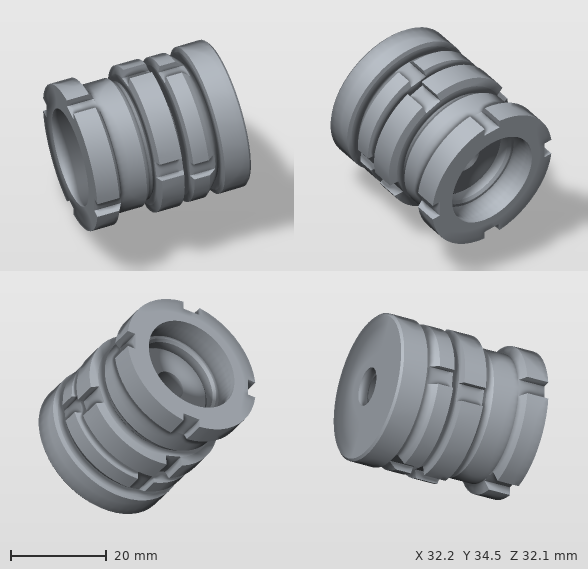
import cadquery as cq
import math


outer_radius = 16.0
thread_radius = 9.5
thread_chamfer = 0.55
hole_radius = 3.3
slot_width = 3.97
slot_floor = 14.0
slot_count = 4

collar_height = 6.05
collar_bevel = 1.15
body_radius = slot_floor
body_end = 11.77
tip_radius = 12.88
tip_start = body_end + body_radius - tip_radius
tip_chamfer = 0.52
sleeve_length = 14.0
counterbore_radius = 10.67
counterbore_depth = collar_height

nut_start = sleeve_length
nut_height = 6.0
nut_face_radius = 14.2
nut_bevel = 0.52
nut_slot_angle = 18.8

spindle_start = 8.35
thread_end = 20.27
neck_radius = 9.22
neck_start = 20.7
head_start = 21.37
head_radius = 15.7
head_face_radius = 14.15
head_bevel = 0.4
head_rim_end = 25.25
head_slot_angle = 10.3

seat_radius = 20.2
seat_center = head_rim_end - math.sqrt(seat_radius**2 - head_radius**2)

pad_start = 28.15
pad_height = 6.25
pad_chamfer = 0.5
pad_bevel = 0.28
pad_face_radius = 15.0
pad_hole_radius = 4.15
pad_tilt_x = 0.3
pad_tilt_z = 0.45


def revolve_about_y(outline):
    """Turn a closed outline of (radius, y) points about the Y axis."""
    return outline.close().revolve(360, (0, 0, 0), (0, 1, 0))


def turned(points):
    """Turned solid from a polygon of (radius, y) points."""
    return revolve_about_y(cq.Workplane("XY").polyline(points))


def cut_slots(body, start, end, angle):
    """Cut the ring of spanner slots between two Y positions, the first turned by angle from +Z to -X."""
    reach = outer_radius
    slot = cq.Workplane("XY").box(slot_width, end - start, reach, centered=(True, False, False))
    slot = slot.translate((0, start, slot_floor))
    for index in range(slot_count):
        turn = index * 360 / slot_count - angle
        body = body.cut(slot.rotate((0, 0, 0), (0, 1, 0), turn))
    return body


def make_sleeve():
    sleeve = turned([
        (counterbore_radius, 0),
        (outer_radius, 0),
        (outer_radius, collar_height - collar_bevel),
        (body_radius, collar_height),
        (body_radius, body_end),
        (tip_radius, tip_start),
        (tip_radius, sleeve_length - tip_chamfer),
        (tip_radius - tip_chamfer, sleeve_length),
        (thread_radius, sleeve_length),
        (thread_radius, counterbore_depth + thread_chamfer),
        (thread_radius + thread_chamfer, counterbore_depth),
        (counterbore_radius, counterbore_depth),
    ])
    return cut_slots(sleeve, 0, collar_height, 0)


def make_lock_nut():
    nut_end = nut_start + nut_height
    nut = turned([
        (thread_radius, nut_start),
        (nut_face_radius, nut_start),
        (outer_radius, nut_start + nut_bevel),
        (outer_radius, nut_end - nut_bevel),
        (nut_face_radius, nut_end),
        (thread_radius, nut_end),
    ])
    return cut_slots(nut, nut_start, nut_end, nut_slot_angle)


def seat_height(radius):
    """Y position of the seat sphere at a distance from the axis."""
    return seat_center + math.sqrt(seat_radius**2 - radius**2)


def make_spindle():
    dome_middle_radius = (hole_radius + head_radius) / 2
    outline = (
        cq.Workplane("XY")
        .moveTo(hole_radius, spindle_start)
        .lineTo(thread_radius - thread_chamfer, spindle_start)
        .lineTo(thread_radius, spindle_start + thread_chamfer)
        .lineTo(thread_radius, thread_end)
        .lineTo(neck_radius, neck_start)
        .lineTo(neck_radius, head_start)
        .lineTo(head_face_radius, head_start)
        .lineTo(head_radius, head_start + head_bevel)
        .lineTo(head_radius, head_rim_end)
        .threePointArc(
            (dome_middle_radius, seat_height(dome_middle_radius)),
            (hole_radius, seat_height(hole_radius)),
        )
    )
    dome_top = seat_center + seat_radius
    return cut_slots(revolve_about_y(outline), head_start, dome_top, head_slot_angle)


def make_pad():
    pad_end = pad_start + pad_height
    blank = turned([
        (pad_hole_radius, pad_start),
        (pad_face_radius, pad_start),
        (outer_radius, pad_start + pad_bevel),
        (outer_radius, pad_end - pad_chamfer),
        (outer_radius - pad_chamfer, pad_end),
        (pad_hole_radius, pad_end),
    ])
    pivot = (0, seat_center, 0)
    seat = cq.Workplane("XY").sphere(seat_radius).translate(pivot)
    pad = blank.cut(seat)
    pad = pad.rotate(pivot, (1, seat_center, 0), pad_tilt_x)
    return pad.rotate(pivot, (0, seat_center, 1), pad_tilt_z)


sleeve = make_sleeve()
lock_nut = make_lock_nut()
spindle = make_spindle()
pad = make_pad()

result = cq.Compound.makeCompound([sleeve.val(), lock_nut.val(), spindle.val(), pad.val()])